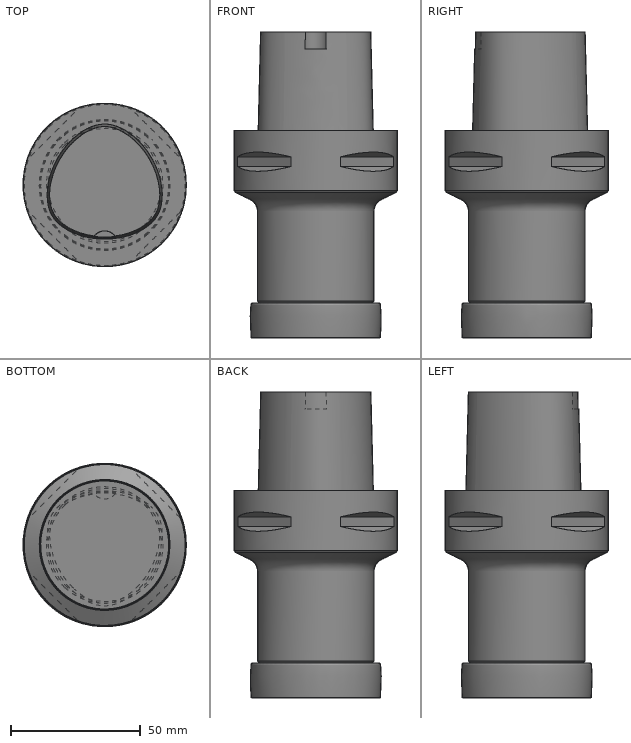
import cadquery as cq
import math

TOTAL_HEIGHT = 118.0
SHANK_HEIGHT = 38.0
FLANGE_TOP = TOTAL_HEIGHT - SHANK_HEIGHT
FLANGE_RIM_HEIGHT = 23.6
CONE_TOP = FLANGE_TOP - FLANGE_RIM_HEIGHT
NUT_HEIGHT = 13.6

FLANGE_RADIUS = 63.0 / 2
NECK_RADIUS = 45.0 / 2
CONE_ANGLE = 26.0
NECK_FILLET = 5.0
RIM_CHAMFER = 0.5
NECK_CHAMFER = 0.7

NUT_END_RADIUS = 24.9
NUT_BELLY_RADIUS = 25.3
NUT_TOP_ROUND = 1.0
NUT_BOTTOM_CHAMFER = 0.2

SHANK_WIDTH = 44.4
LOBE_HEIGHT = 1.3
TAPER_INSET = SHANK_HEIGHT / 40
LOBE_COUNT = 3
LOBE_SPAN = 72.0
FLANK_SPAN = 360.0 / LOBE_COUNT - LOBE_SPAN
FIRST_LOBE_ANGLE = 90.0
CURVE_STEPS = 8

NOTCH_RADIUS = 5.0
NOTCH_DEPTH = 6.6
NOTCH_INNER_Y = -17.7

SLOT_COUNT = 4
SLOT_FIRST_ANGLE = 45.0
SLOT_CENTER_Z = FLANGE_TOP - 12.0
SLOT_FLOOR_DISTANCE = 28.0
SLOT_FLOOR_HEIGHT = 3.7
SLOT_WALL_ANGLE = 28.0


def polygon_point(normal_angle, inset):
    """Point of the lobed outline whose outward normal has the given angle."""
    angle = math.radians(normal_angle)
    phase = LOBE_COUNT * math.radians(normal_angle - FIRST_LOBE_ANGLE)
    reach = SHANK_WIDTH / 2 - inset + LOBE_HEIGHT * math.cos(phase)
    slide = -LOBE_COUNT * LOBE_HEIGHT * math.sin(phase)
    return cq.Vector(
        reach * math.cos(angle) - slide * math.sin(angle),
        reach * math.sin(angle) + slide * math.cos(angle),
    )


def polygon_curve(start, span, inset, z):
    """Smooth edge over one stretch of the outline, tangent to its neighbours."""
    angles = [start + span * i / CURVE_STEPS for i in range(CURVE_STEPS + 1)]
    points = [polygon_point(angle, inset) + cq.Vector(0, 0, z) for angle in angles]
    tangents = [
        cq.Vector(-math.sin(math.radians(a)), math.cos(math.radians(a)))
        for a in (angles[0], angles[-1])
    ]
    return cq.Edge.makeSpline(points, tangents=tangents)


def polygon_wire(inset, z):
    edges = []
    for lobe in range(LOBE_COUNT):
        start = FIRST_LOBE_ANGLE + lobe * 360.0 / LOBE_COUNT - LOBE_SPAN / 2
        edges.append(polygon_curve(start, LOBE_SPAN, inset, z))
        edges.append(polygon_curve(start + LOBE_SPAN, FLANK_SPAN, inset, z))
    return cq.Wire.assembleEdges(edges)


def make_shank():
    base = polygon_wire(0, FLANGE_TOP)
    top = polygon_wire(TAPER_INSET, TOTAL_HEIGHT)
    shank = cq.Workplane(cq.Solid.makeLoft([base, top], True))
    notch = (
        cq.Workplane("XY", origin=(0, NOTCH_INNER_Y - NOTCH_RADIUS, TOTAL_HEIGHT - NOTCH_DEPTH))
        .circle(NOTCH_RADIUS)
        .extrude(NOTCH_DEPTH)
    )
    return shank.cut(notch)


def make_flange_and_neck():
    """Turned rim, cone and neck, with a fillet where the cone meets the neck."""
    slope = math.radians(CONE_ANGLE)
    corner_z = CONE_TOP - (FLANGE_RADIUS - NECK_RADIUS) * math.tan(slope)
    tangent_length = NECK_FILLET * math.tan((math.pi / 2 - slope) / 2)
    fillet_center = (NECK_RADIUS + NECK_FILLET, corner_z - tangent_length)
    middle_angle = (math.pi / 2 + slope + math.pi) / 2
    fillet_start = (
        NECK_RADIUS + tangent_length * math.cos(slope),
        corner_z + tangent_length * math.sin(slope),
    )
    fillet_middle = (
        fillet_center[0] + NECK_FILLET * math.cos(middle_angle),
        fillet_center[1] + NECK_FILLET * math.sin(middle_angle),
    )
    return (
        cq.Workplane("XZ")
        .moveTo(0, FLANGE_TOP)
        .lineTo(FLANGE_RADIUS, FLANGE_TOP)
        .lineTo(FLANGE_RADIUS, CONE_TOP + RIM_CHAMFER)
        .lineTo(FLANGE_RADIUS - RIM_CHAMFER, CONE_TOP - RIM_CHAMFER * math.tan(slope))
        .lineTo(*fillet_start)
        .threePointArc(fillet_middle, (NECK_RADIUS, fillet_center[1]))
        .lineTo(NECK_RADIUS, NUT_HEIGHT + NECK_CHAMFER)
        .lineTo(NECK_RADIUS - NECK_CHAMFER, NUT_HEIGHT)
        .lineTo(0, NUT_HEIGHT)
        .close()
        .revolve(360, (0, 0), (0, 1))
    )


def make_gripper_slot(angle):
    """Straight cutter with a flat floor and walls that open outward."""
    depth = FLANGE_RADIUS - SLOT_FLOOR_DISTANCE
    floor_half = SLOT_FLOOR_HEIGHT / 2
    mouth_half = floor_half + depth * math.tan(math.radians(SLOT_WALL_ANGLE))
    return (
        cq.Workplane("XZ", origin=(0, 0, SLOT_CENTER_Z))
        .polyline([
            (SLOT_FLOOR_DISTANCE, -floor_half),
            (FLANGE_RADIUS, -mouth_half),
            (FLANGE_RADIUS, mouth_half),
            (SLOT_FLOOR_DISTANCE, floor_half),
        ])
        .close()
        .extrude(FLANGE_RADIUS, both=True)
        .rotate((0, 0, 0), (0, 0, 1), angle)
    )


def make_holder():
    holder = make_flange_and_neck().union(make_shank())
    for i in range(SLOT_COUNT):
        holder = holder.cut(make_gripper_slot(SLOT_FIRST_ANGLE + i * 360.0 / SLOT_COUNT))
    return holder


def make_nut():
    return (
        cq.Workplane("XZ")
        .lineTo(NUT_END_RADIUS, 0)
        .threePointArc((NUT_BELLY_RADIUS, NUT_HEIGHT / 2), (NUT_END_RADIUS, NUT_HEIGHT))
        .lineTo(0, NUT_HEIGHT)
        .close()
        .revolve(360, (0, 0), (0, 1))
        .faces(">Z").edges().fillet(NUT_TOP_ROUND)
        .faces("<Z").edges().chamfer(NUT_BOTTOM_CHAMFER)
    )


holder = make_holder()
nut = make_nut()

result = cq.Compound.makeCompound([*holder.solids().vals(), *nut.solids().vals()])